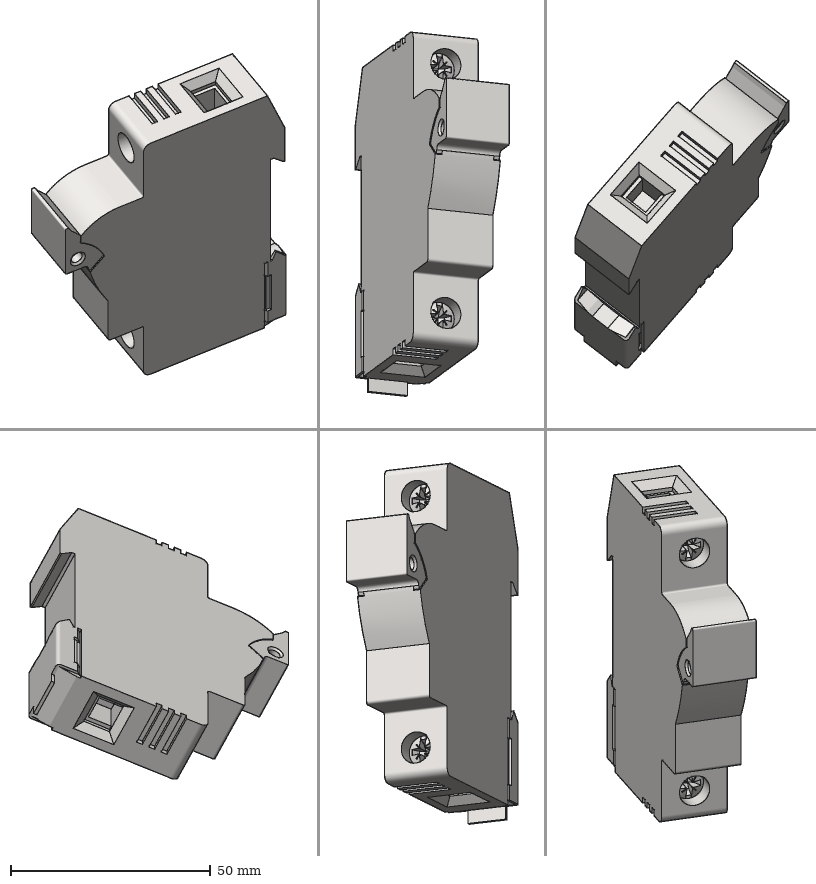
import cadquery as cq
import math


width = 17.5
half_width = width / 2
height = 80.9
mid_height = height / 2
rail_face_y = 36.9
clip_seat_y = 35.1
hook_back_y = 41.0
hook_top_z = 67.2
hook_tip_z = 55.5
hook_root_z = 58.1
hook_root_y = 37.8
hook_tip_y = 40.6
top_back_y = 36.0
terminal_corner_radius = 2.1
inner_corner_radius = 0.5

nose_top_z = 63.0
nose_bottom_z = 17.7
nose_front_y = -10.3
nose_corner_radius = 0.75
brow_start_y = -7.0
brow_end = (-18.15, 58.3)
belly_bottom = (nose_front_y, 31.6)
belly_middle = (-13.4, 37.9)
belly_top = (-16.75, 54.8)

handle_width = 16.9
handle_front_y = -22.55
handle_bottom_z = 46.7
handle_top = (-21.6, 62.5)
handle_ramp_bend = (-20.8, 61.2)
handle_corner_radius = 0.4
handle_notch_z = 55.8
handle_arc_middle = (-14.0, 52.4)
handle_heel = (-11.35, 48.0)
handle_toe = (-15.4, 44.4)
handle_neck_y = -15.8
handle_neck_radius = 1.25
handle_clearance = 0.2
cheek_depth = 1.8
seal_hole_center = (-18.9, 50.4)
seal_hole_diameter = 3.15
seal_hole_chamfer = 0.6

screw_inset = 7.95
screw_diameter = 8.0
screw_depth = 4.65
head_rise = 1.0
head_crown_radius = 1.25
slot_width = 1.5
cross_reach = 3.15
cross_step_reach = 2.15
cross_tip_reach = 0.75
cross_step_depth = 2.0
cross_depth = 2.8
tick_width = 0.2
tick_reach = 2.6
tick_depth = 0.75

entry_y = 24.8
entry_size = (11.9, 11.3)
entry_throat_size = (8.3, 7.1)
entry_taper_depth = 2.15
entry_throat_depth = 1.1
clamp_y = 24.4
clamp_size = (6.2, 6.3)
clamp_depth = 8.3

slit_count = 3
slit_width = 1.6
slit_pitch = 3.4
slit_depth = 1.6
slit_end_x = 2.8
middle_slit_y = 10.1

clip_back_y = 41.8
clip_bottom_z = 1.5
clip_shoulder_z = 22.55
clip_back_top_z = 21.7
clip_tip = (38.5, 25.1)
clip_shoulder_y = 37.3
clip_corner_radius = 1.0
clip_bevel_length = 1.2
clip_bevel_inset = 1.0
clip_pocket_back_y = 37.05
clip_pocket_z = (5.5, 17.6)
clip_pocket_step_y = 36.0
clip_pocket_depth = 0.7
clip_pocket_step_depth = 1.0
tail_width = 10.45
tail_bottom_z = -2.0
tail_thickness = 0.9
wedge_width = 16.1
wedge_tip_y = 36.0
scoop_floor_z = 21.1
scoop_floor_half = 2.5
scoop_knee = (4.1, 21.7)
scoop_shelf = (7.8, 22.4)
scoop_rim_half = 8.2


def side_plate(outline, plate_width):
    """Extrude a closed Y-Z outline evenly about X = 0."""
    return outline.close().extrude(plate_width / 2, both=True)


def box_between(x_range, y_range, z_range):
    """Box spanning the given ranges."""
    sizes = [high - low for low, high in (x_range, y_range, z_range)]
    corner = (x_range[0], y_range[0], z_range[0])
    return cq.Workplane("XY").box(*sizes, centered=False).translate(corner)


def round_cross_edge(solid, y, z, radius):
    """Fillet the edge along X that lies at (y, z)."""
    return solid.edges("|X").edges(cq.NearestToPointSelector((0, y, z))).fillet(radius)


def mirrored_pair(upper):
    """A feature at the top terminal with its mirror image at the bottom one."""
    return upper.union(upper.mirror("XY", (0, 0, mid_height)))


def make_housing():
    """Housing with rail hook, terminal faces and nose."""
    brow_run = brow_start_y - brow_end[0]
    brow_drop = nose_top_z - brow_end[1]
    brow_radius = (brow_run ** 2 + brow_drop ** 2) / (2 * brow_drop)
    half_angle = math.asin(brow_run / brow_radius) / 2
    brow_middle = (
        brow_start_y - brow_radius * math.sin(half_angle),
        nose_top_z - brow_radius * (1 - math.cos(half_angle)),
    )
    outline = (
        cq.Workplane("YZ")
        .moveTo(0, 0)
        .lineTo(clip_seat_y, 0)
        .lineTo(clip_seat_y, clip_shoulder_z)
        .lineTo(rail_face_y, clip_shoulder_z)
        .lineTo(rail_face_y, hook_root_z)
        .lineTo(hook_root_y, hook_root_z)
        .lineTo(hook_tip_y, hook_tip_z)
        .lineTo(hook_back_y, hook_tip_z)
        .lineTo(hook_back_y, hook_top_z)
        .lineTo(top_back_y, height)
        .lineTo(0, height)
        .lineTo(0, nose_top_z)
        .lineTo(brow_start_y, nose_top_z)
        .threePointArc(brow_middle, brow_end)
        .lineTo(brow_end[0], handle_notch_z)
        .lineTo(*belly_top)
        .threePointArc(belly_middle, belly_bottom)
        .lineTo(nose_front_y, nose_bottom_z)
        .lineTo(0, nose_bottom_z)
    )
    housing = side_plate(outline, width)
    for z in (0, height):
        housing = round_cross_edge(housing, 0, z, terminal_corner_radius)
    for z in (nose_bottom_z, nose_top_z):
        housing = round_cross_edge(housing, 0, z, inner_corner_radius)
    return round_cross_edge(housing, nose_front_y, nose_bottom_z, nose_corner_radius)


def handle_outline():
    """Side outline of the handle, its heel and toe held just clear of the seat floor."""
    neck_shift = handle_neck_radius * (1 - math.sqrt(0.5))
    return (
        cq.Workplane("YZ")
        .moveTo(handle_toe[0], handle_toe[1] + handle_clearance)
        .lineTo(handle_heel[0], handle_heel[1] + handle_clearance)
        .threePointArc(handle_arc_middle, (brow_end[0], handle_notch_z))
        .lineTo(*brow_end)
        .lineTo(*handle_ramp_bend)
        .lineTo(*handle_top)
        .lineTo(handle_front_y, handle_top[1])
        .lineTo(handle_front_y, handle_bottom_z)
        .lineTo(handle_neck_y - handle_neck_radius, handle_bottom_z)
        .threePointArc(
            (handle_neck_y - neck_shift, handle_bottom_z - neck_shift),
            (handle_neck_y, handle_bottom_z - handle_neck_radius),
        )
    )


def seat_outline():
    """Side outline of the handle seat, its straight floor running out through the belly."""
    floor_slope = (handle_heel[1] - handle_toe[1]) / (handle_heel[0] - handle_toe[0])
    floor_front_z = handle_toe[1] + floor_slope * (handle_front_y - handle_toe[0])
    return (
        cq.Workplane("YZ")
        .moveTo(*handle_heel)
        .threePointArc(handle_arc_middle, (brow_end[0], handle_notch_z))
        .lineTo(handle_front_y, handle_notch_z)
        .lineTo(handle_front_y, floor_front_z)
    )


def make_handle():
    """Handle block, slightly narrower than the housing."""
    handle = side_plate(handle_outline(), handle_width)
    for z in (handle_bottom_z, handle_top[1]):
        handle = round_cross_edge(handle, handle_front_y, z, handle_corner_radius)
    return handle


def make_handle_seat():
    """The two cheeks cut from the housing sides to take the handle."""
    core = box_between(
        (cheek_depth - half_width, half_width - cheek_depth),
        (handle_front_y, 0),
        (0, height),
    )
    return side_plate(seat_outline(), width).cut(core)


def make_seal_hole():
    """Sealing hole through the handle, countersunk at both sides."""
    hole = (
        cq.Workplane("YZ")
        .center(*seal_hole_center)
        .circle(seal_hole_diameter / 2)
        .extrude(width, both=True)
    )
    rim_radius = seal_hole_diameter / 2 + seal_hole_chamfer
    for side in (-1, 1):
        rim = cq.Solid.makeCone(
            rim_radius,
            seal_hole_diameter / 2,
            seal_hole_chamfer,
            pnt=cq.Vector(side * handle_width / 2, *seal_hole_center),
            dir=cq.Vector(-side, 0, 0),
        )
        hole = hole.union(cq.Workplane(rim))
    return hole


def make_screw_head():
    """Low conical head standing on the floor of the bore, split by a full-width slot."""
    head = cq.Workplane(
        cq.Solid.makeCone(
            screw_diameter / 2,
            head_crown_radius,
            head_rise,
            pnt=cq.Vector(0, screw_depth, 0),
            dir=cq.Vector(0, -1, 0),
        )
    )
    crown_y = screw_depth - head_rise
    return head.cut(
        box_between(
            (-slot_width / 2, slot_width / 2),
            (crown_y, screw_depth),
            (-screw_diameter / 2, screw_diameter / 2),
        )
    )


def make_cross_recess():
    """Driver cross with stepped, tapering wings and four fine ticks between them."""
    crown_y = screw_depth - head_rise
    wing = (
        cq.Workplane("XY")
        .polyline(
            [
                (-cross_reach, crown_y),
                (-cross_reach, screw_depth),
                (-cross_step_reach, screw_depth + cross_step_depth),
                (-cross_tip_reach, screw_depth + cross_depth),
                (cross_tip_reach, screw_depth + cross_depth),
                (cross_step_reach, screw_depth + cross_step_depth),
                (cross_reach, screw_depth),
                (cross_reach, crown_y),
            ]
        )
        .close()
        .extrude(slot_width / 2, both=True)
    )
    tick = box_between(
        (-tick_reach, tick_reach),
        (crown_y, crown_y + tick_depth),
        (-tick_width / 2, tick_width / 2),
    )
    recess = wing.union(wing.rotate((0, 0, 0), (0, 1, 0), 90))
    for angle in (45, 135):
        recess = recess.union(tick.rotate((0, 0, 0), (0, 1, 0), angle))
    return recess


def make_terminal_screws():
    """Everything removed from the housing at the two terminal screws."""
    bore = cq.Workplane("XZ").circle(screw_diameter / 2).extrude(-screw_depth)
    cutter = bore.cut(make_screw_head()).union(make_cross_recess())
    upper = cutter.translate((0, 0, height - screw_inset))
    lower = cutter.translate((0, 0, screw_inset))
    return upper.union(lower)


def make_wire_entries():
    """Funnel, throat and clamp chamber at top and bottom."""
    throat_top_z = height - entry_taper_depth
    clamp_top_z = throat_top_z - entry_throat_depth
    funnel = (
        cq.Workplane("XY", origin=(0, entry_y, height))
        .rect(*entry_size)
        .workplane(offset=-entry_taper_depth)
        .rect(*entry_throat_size)
        .loft(ruled=True)
    )
    throat = (
        cq.Workplane("XY", origin=(0, entry_y, throat_top_z))
        .rect(*entry_throat_size)
        .extrude(-entry_throat_depth)
    )
    clamp = (
        cq.Workplane("XY", origin=(0, clamp_y, clamp_top_z))
        .rect(*clamp_size)
        .extrude(-clamp_depth)
    )
    return mirrored_pair(funnel.union(throat).union(clamp))


def make_vent_slits():
    """Short slits across the top and bottom, open at the -X side."""
    slits = cq.Workplane("XY")
    for index in range(slit_count):
        y = middle_slit_y + (index - (slit_count - 1) / 2) * slit_pitch
        slit = box_between(
            (-half_width, slit_end_x),
            (y - slit_width / 2, y + slit_width / 2),
            (height - slit_depth, height),
        )
        slits = slits.union(slit)
    return mirrored_pair(slits)


def make_clip_body():
    """Clip block with rounded back edges and bevelled front edges."""
    outline = (
        cq.Workplane("YZ")
        .moveTo(clip_seat_y, clip_bottom_z)
        .lineTo(clip_back_y, clip_bottom_z)
        .lineTo(clip_back_y, clip_back_top_z)
        .lineTo(*clip_tip)
        .lineTo(clip_shoulder_y, clip_shoulder_z)
        .lineTo(clip_seat_y, clip_shoulder_z)
    )
    body = side_plate(outline, width)
    body = body.edges("|Z and >Y").fillet(clip_corner_radius)
    return body.edges("|Z and <Y").chamfer(clip_bevel_inset, clip_bevel_length)


def make_clip_pockets():
    """A shallow pocket in each side of the clip, stepped deeper beside the housing."""
    shallow = box_between(
        (-half_width, clip_pocket_depth - half_width),
        (clip_pocket_step_y, clip_pocket_back_y),
        clip_pocket_z,
    )
    deep = box_between(
        (-half_width, clip_pocket_step_depth - half_width),
        (clip_seat_y, clip_pocket_step_y),
        clip_pocket_z,
    )
    left = shallow.union(deep)
    return left.union(left.mirror("YZ"))


def make_clip_scoop():
    """Flared notch across the catch, leaving a tip at each side."""
    right_side = [
        (scoop_floor_half, scoop_floor_z),
        scoop_knee,
        scoop_shelf,
        (scoop_rim_half, clip_tip[1]),
    ]
    left_side = [(-x, z) for x, z in reversed(right_side)]
    return (
        cq.Workplane("XZ", origin=(0, clip_shoulder_y, 0))
        .polyline(right_side + left_side)
        .close()
        .extrude(clip_shoulder_y - clip_back_y)
    )


def make_clip():
    """Rail clip with its pull tail and the wedge under it."""
    tail = box_between(
        (-tail_width / 2, tail_width / 2),
        (clip_back_y - tail_thickness, clip_back_y),
        (tail_bottom_z, clip_bottom_z),
    )
    wedge_outline = (
        cq.Workplane("YZ")
        .moveTo(clip_seat_y, 0)
        .lineTo(wedge_tip_y, 0)
        .lineTo(clip_back_y - tail_thickness, clip_bottom_z)
        .lineTo(clip_seat_y, clip_bottom_z)
    )
    clip = make_clip_body().cut(make_clip_pockets()).cut(make_clip_scoop())
    return clip.union(tail).union(side_plate(wedge_outline, wedge_width))


housing = (
    make_housing()
    .cut(make_terminal_screws())
    .cut(make_wire_entries())
    .cut(make_vent_slits())
    .cut(make_handle_seat())
)
result = housing.union(make_handle()).union(make_clip()).cut(make_seal_hole())